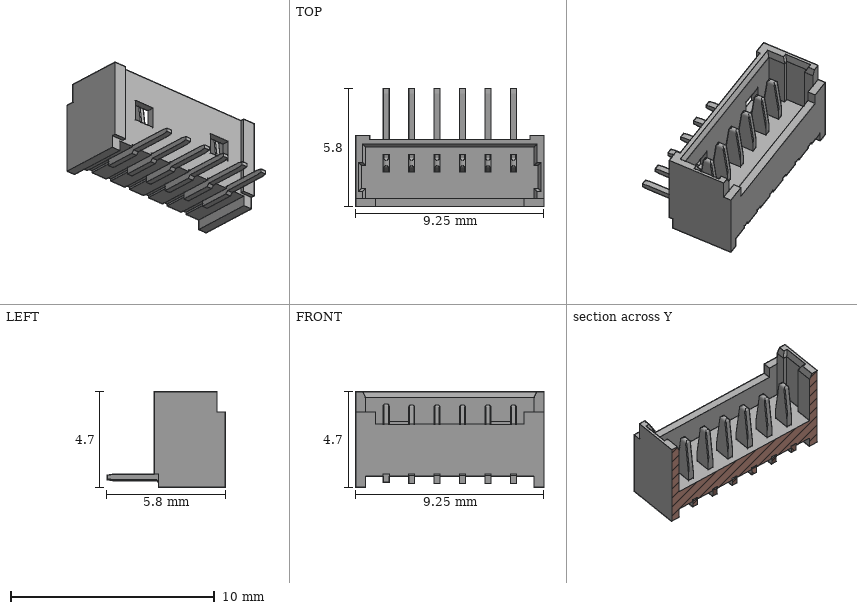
import cadquery as cq


PIN_COUNT = 6
PIN_PITCH = 1.25
PIN_WIDTH = 0.305

LENGTH = 9.25
DEPTH = 3.5
HEIGHT = 4.7
BACK_RECESS = 0.2
CORNER_POST_WIDTH = 0.7
BACK_Y = DEPTH - BACK_RECESS

WALL = 0.5
FRONT_WALL = 0.41
CAVITY_BACK_Y = 2.91
FLOOR_TOP_Z = 1.7
LIP_GROWTH = 0.15
LIP_HEIGHT = 0.3

GROOVE_DEPTH = 0.2
GROOVE_FRONT_Y = 0.9
GROOVE_BACK_Y = 2.02

FRONT_TOP_Z = 3.7
FRONT_DIP_Z = 3.1
FRONT_CORNER_WIDTH = 0.99

FLOOR_BOTTOM_Z = 0.54
SLOT_TOP_Z = 0.65

WINDOW_WIDTH = 1.17
WINDOW_BOTTOM_Z = 2.13
WINDOW_TOP_Z = 3.21

BLADE_FRONT_Y = 1.69
BLADE_BACK_Y = 2.56
TAPER_START_Z = 2.51
TIP_Z = 4.04
TIP_FRONT_INSET = 0.22
TIP_BACK_INSET = 0.19
BLADE_CHAMFER = 0.05
TIP_RADIUS = 0.14

TAIL_END_Y = 5.8
TAIL_TOP_Z = 0.59
TAIL_THICKNESS = 0.27
TAIL_BEVEL_LENGTH = 0.28
TAIL_BEVEL_DROP = 0.05
HEEL_DROP = 0.14
HEEL_BACK_Y = 3.24
SHOULDER = 0.14

FIRST_PIN_LIFT = SLOT_TOP_Z - TAIL_TOP_Z

PIN_XS = [(i - (PIN_COUNT - 1) / 2) * PIN_PITCH for i in range(PIN_COUNT)]


def box(x0, x1, y0, y1, z0, z1):
    """Axis-aligned block between opposite corners."""
    return cq.Workplane("XY").box(x1 - x0, y1 - y0, z1 - z0, centered=False).translate((x0, y0, z0))


def centred_box(width, y0, y1, z0, z1, x=0.0):
    """Block of the given width centred at x."""
    return box(x - width / 2, x + width / 2, y0, y1, z0, z1)


def cavity_outline(z, front_y, growth=0.0):
    """Plan of the cavity at height z, its grooved ends and back moved outward by growth."""
    side = LENGTH / 2 - WALL + growth
    groove = side + GROOVE_DEPTH
    back = CAVITY_BACK_Y + growth
    groove_front = GROOVE_FRONT_Y - growth
    groove_back = GROOVE_BACK_Y + growth
    right_side = [
        (side, front_y),
        (side, groove_front),
        (groove, groove_front),
        (groove, groove_back),
        (side, groove_back),
        (side, back),
    ]
    left_side = [(-x, y) for x, y in reversed(right_side)]
    return cq.Workplane("XY").workplane(offset=z).polyline(right_side + left_side).close()


def cut_cavity(body):
    """Open cavity with a bevelled rim."""
    well = cavity_outline(FLOOR_TOP_Z, FRONT_WALL).extrude(HEIGHT - FLOOR_TOP_Z)
    lip_bottom = cavity_outline(HEIGHT - LIP_HEIGHT, 0).wires().val()
    lip_top = cavity_outline(HEIGHT, 0, LIP_GROWTH).wires().val()
    rim = cq.Workplane(cq.Solid.makeLoft([lip_bottom, lip_top], True))
    return body.cut(well).cut(rim)


def cut_front(body):
    """Low front wall with a dip between its corners."""
    above = centred_box(LENGTH, 0, FRONT_WALL, FRONT_TOP_Z, HEIGHT)
    dip = centred_box(LENGTH - 2 * FRONT_CORNER_WIDTH, 0, FRONT_WALL, FRONT_DIP_Z, FRONT_TOP_Z)
    return body.cut(above).cut(dip)


def cut_back(body):
    """Back face set in between the corner posts and beneath them."""
    between_posts = centred_box(LENGTH - 2 * CORNER_POST_WIDTH, BACK_Y, DEPTH, 0, HEIGHT)
    under_posts = centred_box(LENGTH, BACK_Y, DEPTH, 0, SLOT_TOP_Z)
    return body.cut(between_posts).cut(under_posts)


def cut_windows(body):
    """One window between the two outermost pins at each end of the row."""
    middle = (PIN_XS[-2] + PIN_XS[-1]) / 2
    for x in (-middle, middle):
        body = body.cut(centred_box(WINDOW_WIDTH, CAVITY_BACK_Y, BACK_Y, WINDOW_BOTTOM_Z, WINDOW_TOP_Z, x))
    return body


def cut_underside(body):
    """Space between the feet, and a channel and a floor hole for each pin."""
    body = body.cut(centred_box(LENGTH - 2 * WALL, 0, DEPTH, 0, FLOOR_BOTTOM_Z))
    for x in PIN_XS:
        body = body.cut(centred_box(PIN_WIDTH, 0, DEPTH, FLOOR_BOTTOM_Z, SLOT_TOP_Z, x))
        body = body.cut(centred_box(PIN_WIDTH, BLADE_FRONT_Y, BLADE_BACK_Y, SLOT_TOP_Z, FLOOR_TOP_Z, x))
    return body


def make_housing():
    body = centred_box(LENGTH, 0, DEPTH, 0, HEIGHT)
    body = cut_cavity(body)
    body = cut_front(body)
    body = cut_back(body)
    body = cut_windows(body)
    return cut_underside(body)


def extrude_pin_profile(points):
    """Side profile in Y and Z, extruded to the pin width about X = 0."""
    return cq.Workplane("YZ").polyline(points).close().extrude(PIN_WIDTH / 2, both=True)


def make_blade():
    """Upright blade: straight root, tapered upper part with chamfered edges and a rounded tip."""
    root_z = TAIL_TOP_Z
    run_on = (TAPER_START_Z - root_z) / (TIP_Z - TAPER_START_Z)
    tapered = extrude_pin_profile([
        (BLADE_FRONT_Y - TIP_FRONT_INSET * run_on, root_z),
        (BLADE_BACK_Y + TIP_BACK_INSET * run_on, root_z),
        (BLADE_BACK_Y - TIP_BACK_INSET, TIP_Z),
        (BLADE_FRONT_Y + TIP_FRONT_INSET, TIP_Z),
    ])
    rounded_lengthwise = tapered.faces(">Z").edges("|X").fillet(TIP_RADIUS)
    chamfered = tapered.edges("not(#Z or |X)").chamfer(BLADE_CHAMFER)
    root = centred_box(PIN_WIDTH, BLADE_FRONT_Y, BLADE_BACK_Y, root_z, TIP_Z)
    rounded_across = root.faces(">Z").edges("|Y").fillet(TIP_RADIUS)
    return rounded_lengthwise.intersect(rounded_across).intersect(chamfered)


def make_foot():
    """Foot under the blade and the tail behind it, bevelled at its end."""
    tail_bottom_z = TAIL_TOP_Z - TAIL_THICKNESS
    heel_z = tail_bottom_z - HEEL_DROP
    front_y = BLADE_FRONT_Y - SHOULDER
    bevel_y = TAIL_END_Y - TAIL_BEVEL_LENGTH
    return extrude_pin_profile([
        (front_y, heel_z),
        (HEEL_BACK_Y, heel_z),
        (HEEL_BACK_Y + HEEL_DROP, tail_bottom_z),
        (bevel_y, tail_bottom_z),
        (TAIL_END_Y, tail_bottom_z + TAIL_BEVEL_DROP),
        (TAIL_END_Y, TAIL_TOP_Z - TAIL_BEVEL_DROP),
        (bevel_y, TAIL_TOP_Z),
        (front_y, TAIL_TOP_Z),
    ])


def make_pin(x, lift):
    return make_blade().union(make_foot()).translate((x, 0, lift))


housing = make_housing()

pins = []
for index, pin_x in enumerate(PIN_XS):
    pin_lift = FIRST_PIN_LIFT if index == 0 else 0.0
    pins.append(make_pin(pin_x, pin_lift).val())

result = cq.Compound.makeCompound([housing.val(), *pins])